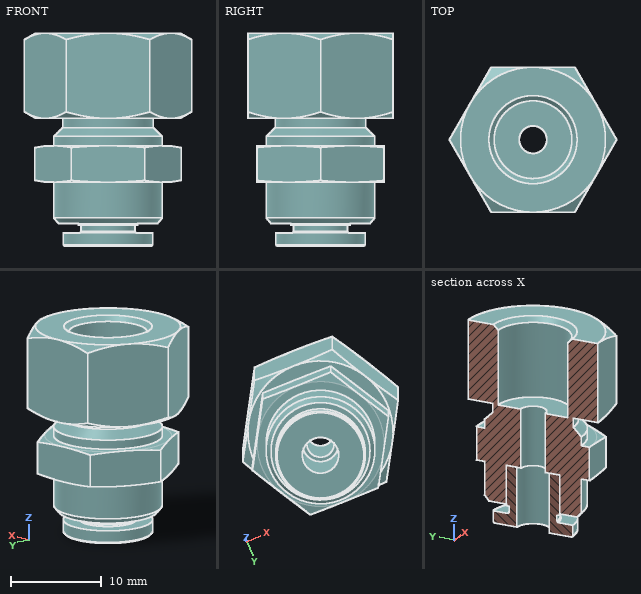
import cadquery as cq
import math

TOTAL_HEIGHT = 23.5
BODY_BOTTOM = 2.5
BODY_CHAMFER_TOP = 3.13
LOWER_HEX_BOTTOM = 7.07
LOWER_HEX_TOP = 11.07
SHOULDER_TOP = 12.1
NECK_BOTTOM = 13.1
UPPER_HEX_BOTTOM = 14.1

UPPER_HEX_FLATS = 16.0
UPPER_HEX_CHAMFER_ANGLE = 30
LOWER_HEX_FLATS = 14.0
LOWER_HEX_CHAMFER_ANGLE = 10
BODY_DIAMETER = 12.0
BODY_END_DIAMETER = 10.93
NECK_DIAMETER = 10.0
PORT_DIAMETER = 8.58
PORT_MOUTH_DIAMETER = 9.73
PORT_CHAMFER = (PORT_MOUTH_DIAMETER - PORT_DIAMETER) / 2
PORT_FLOOR = UPPER_HEX_BOTTOM
FLOW_DIAMETER = 3.0

FLANGE_DIAMETER = 9.9
FLANGE_HEIGHT = 1.48
FLANGE_CHAMFER = 0.16
STEM_DIAMETER = 6.0
STEM_ROOT_DIAMETER = 6.2
STEM_ROOT_HEIGHT = 0.16
COLLAR_DIAMETER = 6.6
COLLAR_BOTTOM = 2.3
SLEEVE_TOP = LOWER_HEX_BOTTOM
TUBE_DIAMETER = 4


def revolve_profile(points):
    """Revolve a closed (radius, height) outline around the Z axis."""
    return cq.Workplane("XZ").polyline(points).close().revolve(360, (0, 0), (0, 1))


def cylinder(diameter, bottom, top):
    return cq.Workplane("XY").workplane(offset=bottom).circle(diameter / 2).extrude(top - bottom)


def chamfered_hex(flats, bottom, top, chamfer_angle):
    """Hexagon with corners on X, its corners turned conically at both ends."""
    corner_diameter = flats / math.cos(math.radians(30))
    face_radius = flats / 2
    corner_radius = corner_diameter / 2
    drop = (corner_radius - face_radius) * math.tan(math.radians(chamfer_angle))
    prism = cq.Workplane("XY").workplane(offset=bottom).polygon(6, corner_diameter).extrude(top - bottom)
    envelope = revolve_profile([
        (0, bottom),
        (face_radius, bottom),
        (corner_radius, bottom + drop),
        (corner_radius, top - drop),
        (face_radius, top),
        (0, top),
    ])
    return prism.intersect(envelope)


def make_body():
    """Fitting body with two hexagons, a port above and a sleeve socket below."""
    barrel = revolve_profile([
        (0, BODY_BOTTOM),
        (BODY_END_DIAMETER / 2, BODY_BOTTOM),
        (BODY_DIAMETER / 2, BODY_CHAMFER_TOP),
        (BODY_DIAMETER / 2, SHOULDER_TOP),
        (NECK_DIAMETER / 2, NECK_BOTTOM),
        (NECK_DIAMETER / 2, UPPER_HEX_BOTTOM),
        (0, UPPER_HEX_BOTTOM),
    ])
    lower_hex = chamfered_hex(LOWER_HEX_FLATS, LOWER_HEX_BOTTOM, LOWER_HEX_TOP, LOWER_HEX_CHAMFER_ANGLE)
    upper_hex = chamfered_hex(UPPER_HEX_FLATS, UPPER_HEX_BOTTOM, TOTAL_HEIGHT, UPPER_HEX_CHAMFER_ANGLE)
    port = revolve_profile([
        (0, PORT_FLOOR),
        (PORT_DIAMETER / 2, PORT_FLOOR),
        (PORT_DIAMETER / 2, TOTAL_HEIGHT - PORT_CHAMFER),
        (PORT_MOUTH_DIAMETER / 2, TOTAL_HEIGHT),
        (0, TOTAL_HEIGHT),
    ])
    flow_hole = cylinder(FLOW_DIAMETER, BODY_BOTTOM, PORT_FLOOR)
    sleeve_socket = cylinder(COLLAR_DIAMETER, BODY_BOTTOM, SLEEVE_TOP)
    return barrel.union(lower_hex).union(upper_hex).cut(port).cut(flow_hole).cut(sleeve_socket)


def make_release_sleeve():
    """Flanged sleeve whose collar fills the socket; the tube passes through it."""
    tube_radius = TUBE_DIAMETER / 2
    return revolve_profile([
        (tube_radius, 0),
        (FLANGE_DIAMETER / 2 - FLANGE_CHAMFER, 0),
        (FLANGE_DIAMETER / 2, FLANGE_CHAMFER),
        (FLANGE_DIAMETER / 2, FLANGE_HEIGHT),
        (STEM_ROOT_DIAMETER / 2, FLANGE_HEIGHT),
        (STEM_DIAMETER / 2, FLANGE_HEIGHT + STEM_ROOT_HEIGHT),
        (STEM_DIAMETER / 2, COLLAR_BOTTOM),
        (COLLAR_DIAMETER / 2, COLLAR_BOTTOM),
        (COLLAR_DIAMETER / 2, SLEEVE_TOP),
        (tube_radius, SLEEVE_TOP),
    ])


body = make_body()
release_sleeve = make_release_sleeve()
result = cq.Compound.makeCompound([body.val(), release_sleeve.val()])